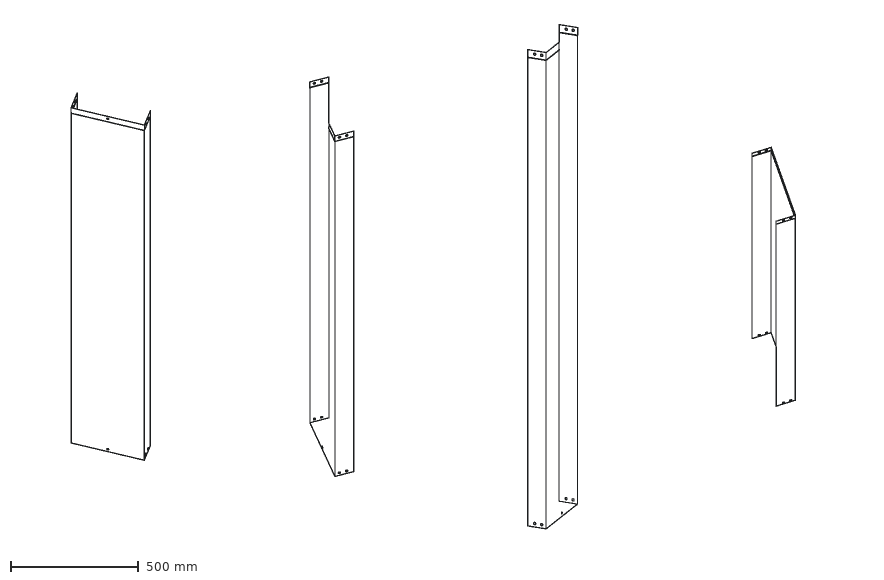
import cadquery as cq

width = 302.0
depth = 80.0
height = 1999.0
sheet = 0.8

collar_step = sheet
collar_height = 32.0
step_height = 2.0
collar_bottom = height - collar_height
step_bottom = collar_bottom - step_height

web_hole_diameter = 7.0
flange_hole_diameter = 9.0
hole_end_distance = 15.0
flange_hole_depths = (20.0, 50.0)


def block(bottom, bottom_inset, top, top_inset):
    """Solid between two heights, its sides and front inset from the overall outline."""

    def corners(inset):
        half_width = width / 2 - inset
        return [(-half_width, inset), (half_width, inset), (half_width, depth), (-half_width, depth)]

    return (
        cq.Workplane("XY", origin=(0, 0, bottom))
        .polyline(corners(bottom_inset))
        .close()
        .workplane(offset=top - bottom)
        .polyline(corners(top_inset))
        .close()
        .loft(ruled=True)
    )


def stepped_block(inset):
    """Body, sloping step and collar as one solid, moved inwards by the inset."""
    body_inset = inset + collar_step
    body = block(0, body_inset, step_bottom, body_inset)
    step = block(step_bottom, body_inset, collar_bottom, inset)
    collar = block(collar_bottom, inset, height, inset)
    return body.union(step).union(collar)


def drill_end(channel, hole_z):
    """One hole through the middle of the web and two through both flanges."""
    web_hole = (
        cq.Workplane("XZ", origin=(0, 0, hole_z))
        .circle(web_hole_diameter / 2)
        .extrude(-depth)
    )
    flange_holes = (
        cq.Workplane("YZ", origin=(0, 0, hole_z))
        .pushPoints([(hole_depth, 0) for hole_depth in flange_hole_depths])
        .circle(flange_hole_diameter / 2)
        .extrude(width, both=True)
    )
    return channel.cut(web_hole).cut(flange_holes)


result = stepped_block(0).cut(stepped_block(sheet))

for end_hole_z in (hole_end_distance, height - hole_end_distance):
    result = drill_end(result, end_hole_z)